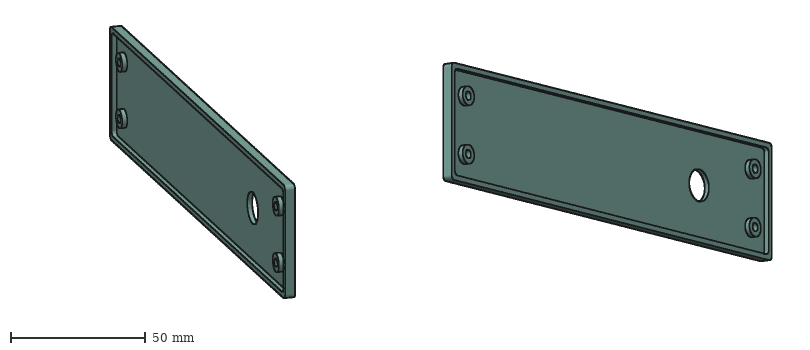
import cadquery as cq

length = 199.6
thickness = 4
height = 44.5
corner_radius = 1.8

rim_width = 2
recess_depth = 2
recess_corner_radius = 1.8

boss_diameter = 7.2
boss_height = recess_depth
screw_hole_diameter = 3.2
boss_spacing_x = 178.6
boss_spacing_z = 22.2

opening_diameter = 12.2
opening_x = 57.0


def rounded_slab(size_x, size_z, depth, radius):
    """Slab centred in X and Z, running from Y = 0 toward -Y."""
    slab = cq.Workplane("XZ").rect(size_x, size_z).extrude(depth)
    return slab.edges("|Y").fillet(radius)


def cylinders(points, diameter, depth):
    """Cylinders along Y, running from Y = 0 toward -Y."""
    return cq.Workplane("XZ").pushPoints(points).circle(diameter / 2).extrude(depth)


floor_thickness = thickness - recess_depth
plate = rounded_slab(length, height, thickness, corner_radius)
recess = rounded_slab(
    length - 2 * rim_width, height - 2 * rim_width, recess_depth, recess_corner_radius
).translate((0, -floor_thickness, 0))

boss_points = [
    (side_x * boss_spacing_x / 2, side_z * boss_spacing_z / 2)
    for side_x in (-1, 1)
    for side_z in (-1, 1)
]
bosses = cylinders(boss_points, boss_diameter, floor_thickness + boss_height)
screw_holes = cylinders(boss_points, screw_hole_diameter, thickness)
opening = cylinders([(opening_x, 0)], opening_diameter, thickness)

result = plate.cut(recess).union(bosses).cut(screw_holes).cut(opening)